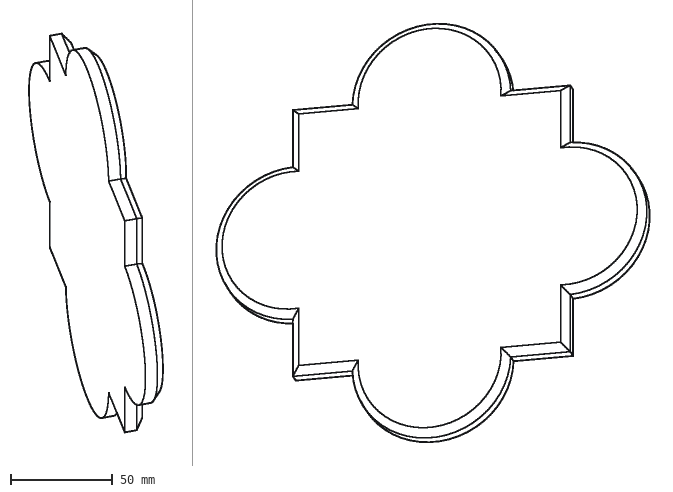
import cadquery as cq

overall_size = 217.5
thickness = 10.0
square_side = 140.0
lobe_radius = 40.0
chamfer_size = 4.0

lobe_center = overall_size / 2 - lobe_radius


def make_plate():
    """Square plate with a round lobe in the middle of each side, front face at Y = 0."""
    plate = cq.Workplane("XZ").rect(square_side, square_side).extrude(-thickness)
    lobes = (
        cq.Workplane("XZ")
        .polarArray(lobe_center, 0, 360, 4)
        .circle(lobe_radius)
        .extrude(-thickness)
    )
    return plate.union(lobes)


def chamfer_back(plate):
    """Bevel the whole outline of the +Y face."""
    return plate.faces(">Y").edges().chamfer(chamfer_size)


result = chamfer_back(make_plate())